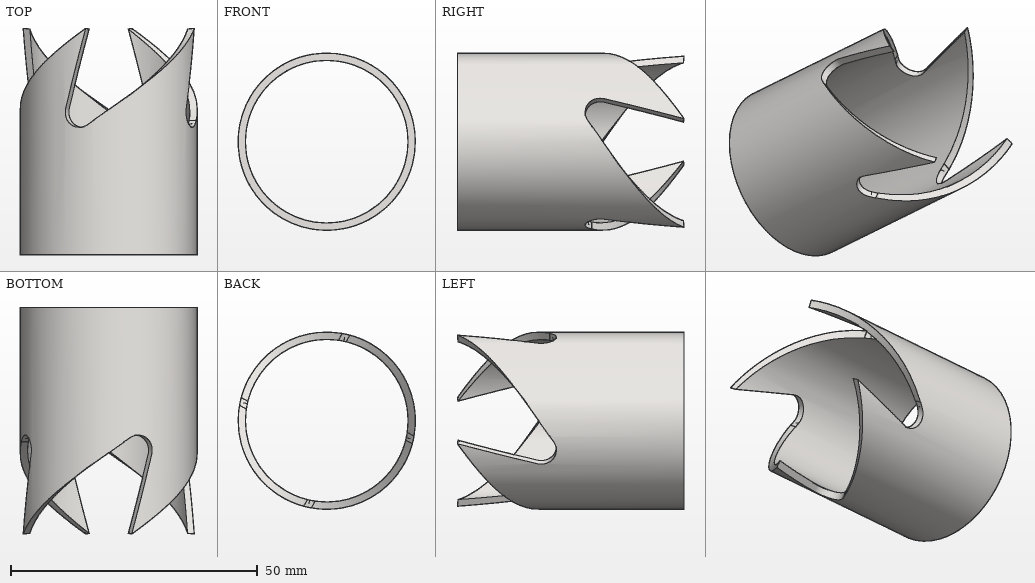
import cadquery as cq
import math

length = 45.95
outer_diameter = 36.0
wall = 1.5
tooth_count = 4
slant_angle = 35.0
undercut_angle = 15.0
root_radius = 3.1
root_height = 29.8
root_position = -29.0
inward_drop = 0.4
clearance = 0.9
overlap = 0.55

outer_radius = outer_diameter / 2
inner_radius = outer_radius - wall
slant = math.radians(slant_angle)
undercut = math.radians(undercut_angle)

center_u = root_radius * math.cos(undercut)
center_v = root_height - root_radius * math.sin(undercut)
slant_start_u = center_u + root_radius * math.sin(slant)
slant_start_v = center_v - root_radius * math.cos(slant)
flank_top_u = (length - root_height) * math.tan(undercut)


def slant_height(u):
    """Height of the long flank at circumferential distance u."""
    return slant_start_v + (u - slant_start_u) * math.tan(slant)


def root_cutter():
    """Straight cut for the undercut flank, the root fillet and the start of the long flank."""
    end_u = slant_start_u + 2 * overlap
    return (
        cq.Workplane("XZ")
        .moveTo(0, root_height)
        .lineTo(flank_top_u, length)
        .lineTo(end_u, length)
        .lineTo(end_u, slant_height(end_u))
        .lineTo(slant_start_u, slant_start_v)
        .threePointArc((center_u, center_v - root_radius), (0, root_height))
        .close()
        .extrude(outer_radius + clearance)
    )


def slant_cutter():
    """Helical cut that clears everything above the long flank."""
    start_u = slant_start_u + overlap
    start_v = slant_height(start_u)
    rise = length + clearance - start_v
    pitch = 2 * math.pi * outer_radius * math.tan(slant)
    drop_rate = inward_drop / wall
    path = cq.Wire.makeHelix(pitch, rise, outer_radius)
    cutter = (
        cq.Workplane("XZ")
        .moveTo(inner_radius - clearance, -drop_rate * (wall + clearance))
        .lineTo(outer_radius + clearance, drop_rate * clearance)
        .lineTo(outer_radius + clearance, length)
        .lineTo(inner_radius - clearance, length)
        .close()
        .sweep(cq.Workplane(path), isFrenet=True)
    )
    turn = math.degrees(start_u / outer_radius) - 90
    return cutter.rotate((0, 0, 0), (0, 0, 1), turn).translate((0, 0, start_v))


tube = cq.Workplane("XY").circle(outer_radius).circle(inner_radius).extrude(length)
root_cut = root_cutter()
slant_cut = slant_cutter()
for i in range(tooth_count):
    turn = root_position + i * 360 / tooth_count
    for cutter in (root_cut, slant_cut):
        tube = tube.cut(cutter.rotate((0, 0, 0), (0, 0, 1), turn))

result = tube.rotate((0, 0, 0), (1, 0, 0), -90).translate((0, -length / 2, 0))